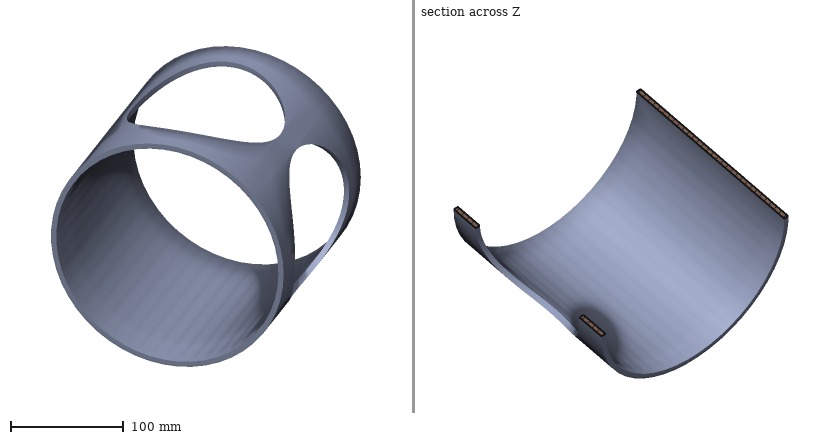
import cadquery as cq

tube_diameter = 219.1
wall_thickness = 5.0
tube_length = 200.0
branch_hole_diameter = 140.0

tube_radius = tube_diameter / 2
bore_radius = tube_radius - wall_thickness
branch_hole_radius = branch_hole_diameter / 2

UP = cq.Vector(0, 0, 1)
SIDEWAYS = cq.Vector(1, 0, 0)


def make_tube():
    """Straight pipe along Y, centred on the origin."""
    return (
        cq.Workplane("XZ")
        .circle(tube_radius)
        .circle(bore_radius)
        .extrude(tube_length / 2, both=True)
    )


def branch_cutter(direction):
    """Cylinder from the pipe axis outwards, piercing the wall on one side only."""
    cylinder = cq.Solid.makeCylinder(
        branch_hole_radius, tube_diameter, cq.Vector(0, 0, 0), direction
    )
    return cq.Workplane(cylinder)


result = make_tube()
for hole_direction in (UP, SIDEWAYS):
    result = result.cut(branch_cutter(hole_direction))